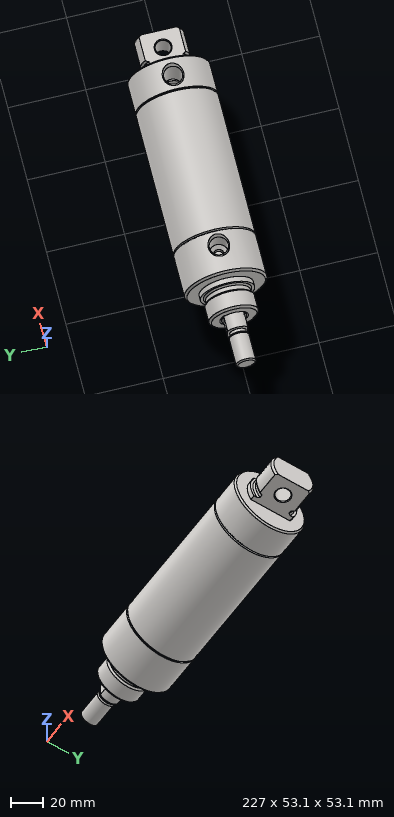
import cadquery as cq
import math


nose_face_x = 31.8
head_face_x = 52.2
tube_start_x = 81.0
tube_end_x = 179.5
rear_face_x = 201.5
overall_length = 227.0

body_radius = 53.1 / 2
tube_wall = 2.0
tube_chamfer = 1.1
head_chamfer = 1.4
rear_chamfer = 1.1

collar_radius = 35.0 / 2
collar_length = 3.5
collar_foot_radius = 31.0 / 2
groove_radius = 28.8 / 2
nose_groove_width = 3.0
tang_groove_width = 2.0
thread_radius = 32.0 / 2
thread_root_radius = 29.5 / 2
thread_chamfer = 1.4

tang_thickness = 18.8
eye_x = 215.5
eye_radius = 10.0 / 2
eye_chamfer = 0.57

rod_radius = 16.1 / 2
rod_mouth_radius = 18.5 / 2
rod_flats_width = 13.0
rod_shoulder_x = 22.2
rod_thread_radius = 13.0 / 2
rod_thread_root_radius = 11.8 / 2
rod_thread_chamfer = 1.0
rod_thread_end_x = 18.8
rod_neck_start_x = 20.0
rod_neck_radius = 10.5 / 2

drill_point_angle = 118.0
port_radius = 12.0 / 2
port_chamfer = 1.5
head_port_x = 71.3
head_port_floor_z = 12.7
air_hole_radius = 6.5 / 2
rear_port_x = 189.5
rear_port_floor_z = 3.9

rear_bore_radius = 21.8 / 2
rear_bore_end_x = 190.3


def revolved(profile):
    """Solid made by turning a closed list of (x, radius) points about the X axis."""
    return cq.Workplane("XY").polyline(profile).close().revolve(360, (0, 0, 0), (1, 0, 0))


def cylinder_along_x(start_x, end_x, radius):
    return cq.Workplane("YZ", origin=(start_x, 0, 0)).circle(radius).extrude(end_x - start_x)


def cylinder_along_z(center_x, start_z, end_z, radius):
    return cq.Workplane("XY", origin=(center_x, 0, start_z)).circle(radius).extrude(end_z - start_z)


def cone(base, direction, base_radius, end_radius, length):
    return cq.Workplane(cq.Solid.makeCone(base_radius, end_radius, length, pnt=base, dir=direction))


def drill_point(base, direction, base_radius, end_radius):
    """Conical bottom of a drilled hole, cut off at end_radius."""
    length = (base_radius - end_radius) / math.tan(math.radians(drill_point_angle / 2))
    return cone(base, direction, base_radius, end_radius, length)


def outside_flats(start_x, end_x, radius, width_y, width_z):
    """Material to remove so that a round of the given radius is left width_y by width_z across."""
    return (
        cq.Workplane("YZ", origin=(start_x, 0, 0))
        .rect(2 * radius, 2 * radius)
        .rect(width_y, width_z)
        .extrude(end_x - start_x)
    )


def threaded_end(face_x, tip_x, groove_width):
    """Outline points (x, radius) from the collar on the cap face out to the threaded tip."""
    outward = math.copysign(1, tip_x - face_x)
    collar_end_x = face_x + outward * collar_length
    groove_start_x = collar_end_x + outward * (collar_foot_radius - groove_radius)
    groove_end_x = groove_start_x + outward * groove_width
    thread_start_x = groove_end_x + outward * (thread_radius - thread_root_radius)
    return [
        (face_x, collar_radius),
        (collar_end_x, collar_radius),
        (collar_end_x, collar_foot_radius),
        (groove_start_x, groove_radius),
        (groove_end_x, groove_radius),
        (groove_end_x, thread_root_radius),
        (thread_start_x, thread_radius),
        (tip_x - outward * thread_chamfer, thread_radius),
        (tip_x, thread_radius - thread_chamfer),
    ]


def port(center_x, floor_z):
    """Straight port from the top of a cap down to floor_z, with a chamfered mouth."""
    hole = cylinder_along_z(center_x, floor_z, body_radius, port_radius)
    mouth_base = (center_x, 0, body_radius - port_chamfer)
    mouth = cone(mouth_base, (0, 0, 1), port_radius, port_radius + port_chamfer, port_chamfer)
    return hole.union(mouth)


def make_rod():
    rod = revolved([
        (0, 0),
        (0, rod_thread_radius - rod_thread_chamfer),
        (rod_thread_chamfer, rod_thread_radius),
        (rod_thread_end_x, rod_thread_radius),
        (rod_neck_start_x, rod_thread_root_radius),
        (rod_neck_start_x, rod_neck_radius),
        (rod_shoulder_x, rod_neck_radius),
        (rod_shoulder_x, rod_radius),
        (tube_end_x, rod_radius),
        (tube_end_x, 0),
    ])
    wrench_flats = outside_flats(rod_shoulder_x, nose_face_x, rod_radius, rod_flats_width, 2 * rod_radius)
    return rod.cut(wrench_flats)


def make_head():
    nose = threaded_end(head_face_x, nose_face_x, nose_groove_width)
    head = revolved([
        (nose_face_x, 0),
        *reversed(nose),
        (head_face_x, body_radius - head_chamfer),
        (head_face_x + head_chamfer, body_radius),
        (tube_start_x, body_radius),
        (tube_start_x, 0),
    ])
    rod_hole = cylinder_along_x(nose_face_x, tube_start_x, rod_radius)
    rod_mouth = cone(
        (nose_face_x, 0, 0), (1, 0, 0), rod_mouth_radius, rod_radius, rod_mouth_radius - rod_radius
    )
    port_floor = (head_port_x, 0, head_port_floor_z)
    port_point = drill_point(port_floor, (0, 0, -1), port_radius, air_hole_radius)
    air_hole = cylinder_along_z(head_port_x, 0, head_port_floor_z, air_hole_radius)
    head = head.cut(rod_hole).cut(rod_mouth)
    return head.cut(port(head_port_x, head_port_floor_z)).cut(port_point).cut(air_hole)


def make_tube():
    bore_radius = body_radius - tube_wall
    return revolved([
        (tube_start_x, bore_radius),
        (tube_start_x, body_radius - tube_chamfer),
        (tube_start_x + tube_chamfer, body_radius),
        (tube_end_x - tube_chamfer, body_radius),
        (tube_end_x, body_radius - tube_chamfer),
        (tube_end_x, bore_radius),
    ])


def cut_tang(rear):
    """Flattens the threaded end above and below, and drills the chamfered eye through it."""
    half_thickness = tang_thickness / 2
    flats = outside_flats(rear_face_x, overall_length, body_radius, 2 * body_radius, tang_thickness)
    eye = cylinder_along_z(eye_x, -half_thickness, half_thickness, eye_radius)
    rear = rear.cut(flats).cut(eye)
    for side in (1, -1):
        eye_mouth = (eye_x, 0, side * half_thickness)
        rear = rear.cut(cone(eye_mouth, (0, 0, -side), eye_radius + eye_chamfer, eye_radius, eye_chamfer))
    return rear


def make_rear():
    rear = revolved([
        (tube_end_x, 0),
        (tube_end_x, body_radius),
        (rear_face_x - rear_chamfer, body_radius),
        (rear_face_x, body_radius - rear_chamfer),
        *threaded_end(rear_face_x, overall_length, tang_groove_width),
        (overall_length, 0),
    ])
    rear = cut_tang(rear)
    bore = cylinder_along_x(tube_end_x, rear_bore_end_x, rear_bore_radius)
    bore_point = drill_point((rear_bore_end_x, 0, 0), (1, 0, 0), rear_bore_radius, 0)
    return rear.cut(bore).cut(bore_point).cut(port(rear_port_x, rear_port_floor_z))


rod = make_rod()
head = make_head()
tube = make_tube()
rear = make_rear()

bodies = [rod, head, tube, rear]
result = cq.Compound.makeCompound([body.solids().val() for body in bodies])